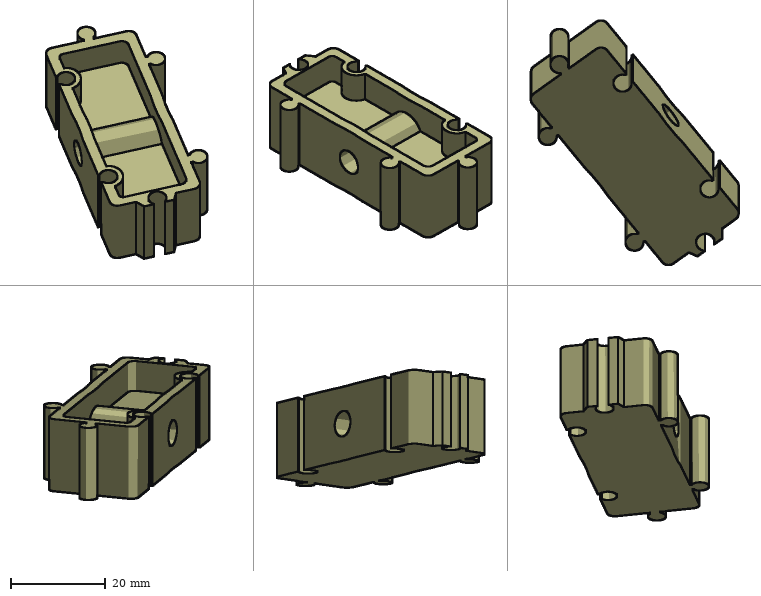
import cadquery as cq

outer_length = 54.35
outer_width = 23.85
height = 16.0
knob_reach = 3.85
lug_reach = 1.8
length = outer_length - knob_reach - lug_reach
width = outer_width - knob_reach
corner_radius = 1.7

knob_diameter = 3.85
knob_radius = knob_diameter / 2
knob_offset = knob_reach - knob_radius
neck_width = 2.25
joint_positions = (9.55, 39.85)
socket_wall_radius = 3.15
side_socket_offset = 0.25

lug_root_front = 5.3
lug_root_back = 14.2
lug_tip_front = 6.6
lug_tip_back = 13.25

wall = 2.45
right_wall = 2.1
floor_height = 9.4
cavity_back_radius = 1.5
cavity_front_radius = 1.0

bore_diameter = 5.5
bore_x = 23.95
bore_z = height / 2
tube_radius = 4.2
hollow_width = 8.25
hollow_depth = 0.19


def block(x_start, y_start, x_size, y_size, z_start, z_size):
    """Rectangular block placed by its lowest corner."""
    return cq.Workplane("XY").box(x_size, y_size, z_size, centered=False).translate((x_start, y_start, z_start))


def upright(x, y, radius, z_start=0):
    """Vertical cylinder from z_start to the top face."""
    return cq.Workplane("XY", origin=(x, y, z_start)).circle(radius).extrude(height - z_start)


def cross_cylinder(radius):
    """Cylinder on the bore axis, through the full body width."""
    return cq.Workplane("XZ", origin=(bore_x, 0, bore_z)).circle(radius).extrude(-width)


def bowed_segment(y, depth, z_start):
    """Segment between a straight chord at y and an arc bulging by depth."""
    half = hollow_width / 2
    return (
        cq.Workplane("XY", origin=(0, 0, z_start))
        .moveTo(bore_x - half, y)
        .threePointArc((bore_x, y + depth), (bore_x + half, y))
        .close()
        .extrude(height - z_start)
    )


def make_cavity():
    """Tray pocket, reduced by the socket walls and the bowed wall faces."""
    cavity_back = width - wall
    cavity = block(wall, wall, length - wall - right_wall, cavity_back - wall, floor_height, height - floor_height)
    cavity = cavity.edges("|Z and >Y").fillet(cavity_back_radius)
    cavity = cavity.edges("|Z and <Y").fillet(cavity_front_radius)
    for x in joint_positions:
        cavity = cavity.cut(upright(x, knob_offset, socket_wall_radius, floor_height))
    cavity = cavity.cut(bowed_segment(wall, hollow_depth, floor_height))
    return cavity.cut(bowed_segment(cavity_back, -hollow_depth, floor_height))


def make_lug():
    """Tapered lug on the right side, rooted in the body wall."""
    root = length - right_wall / 2
    tip = length + lug_reach
    return (
        cq.Workplane("XY")
        .polyline([
            (root, lug_root_front),
            (length, lug_root_front),
            (tip, lug_tip_front),
            (tip, lug_tip_back),
            (length, lug_root_back),
            (root, lug_root_back),
        ])
        .close()
        .extrude(height)
    )


body = block(0, 0, length, width, 0, height).edges("|Z").fillet(corner_radius)
body = body.cut(make_cavity()).union(make_lug())

body = body.cut(bowed_segment(0, hollow_depth, 0)).cut(bowed_segment(width, -hollow_depth, 0))
tube = cross_cylinder(tube_radius).intersect(block(0, wall / 2, length, width - wall, 0, height))
body = body.union(tube).cut(cross_cylinder(bore_diameter / 2))

for x in joint_positions:
    neck_left = x - neck_width / 2
    body = body.union(upright(x, width + knob_offset, knob_radius))
    body = body.union(block(neck_left, width - wall / 2, neck_width, wall / 2 + knob_offset, 0, height))
    body = body.cut(upright(x, knob_offset, knob_radius))
    body = body.cut(block(neck_left, 0, neck_width, knob_offset, 0, height))

body = body.union(upright(-knob_offset, width / 2, knob_radius))
side_neck_front = (width - neck_width) / 2
body = body.union(block(-knob_offset, side_neck_front, knob_offset + wall / 2, neck_width, 0, height))
body = body.cut(upright(length + side_socket_offset, width / 2, knob_radius))

result = body